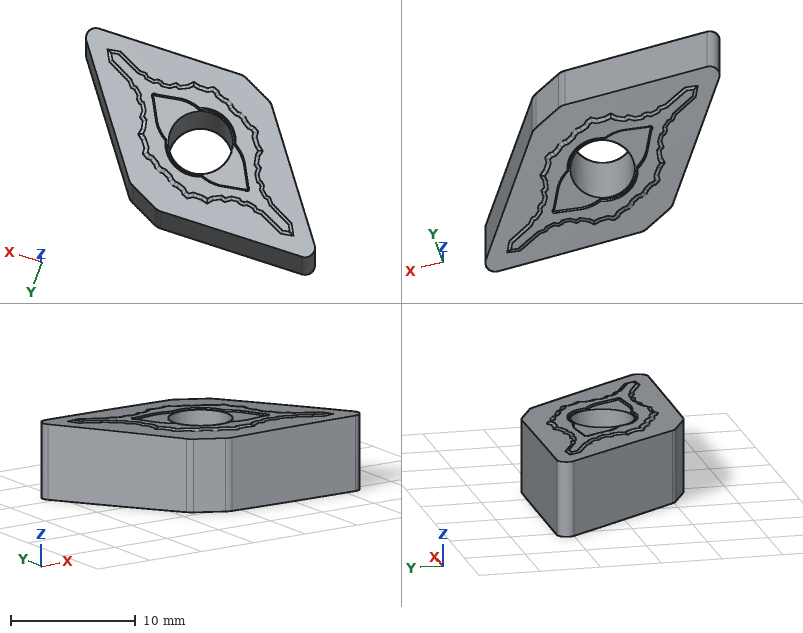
import cadquery as cq
import math

length_x = 22.92
width_y = 12.7
height_z = 6.45
bore_diameter = 5.15
nose_angle = 55.0

blunt_setback = 1.76
blunt_radius = 1.2

crown_drop = 0.1
crown_edge_drop = 0.1

land_depth = 0.18
land_wall_run = 0.53

recess_depth = 0.11
recess_radius = 2.85
recess_wall_angle = 45.0
recess_tip = 5.52
recess_bore_side_along = 2.1
recess_flank_middle = (2.93, 1.75)
recess_flank_end = (3.67, 1.4)
recess_tip_side = (5.32, 0.2)

half_nose = math.radians(nose_angle / 2)
half_width = width_y / 2
half_height = height_z / 2
sharp_reach = half_width / math.tan(half_nose)
nose_radius = (sharp_reach - length_x / 2) / (1 / math.tan(half_nose) - 1)
side_length = width_y / math.sin(2 * half_nose)
crown_height = half_height - crown_drop

land_crest = [
    (10.25, 0.0), (9.76, 0.35), (7.56, 0.37),
    (7.08, 0.57), (6.83, 0.48), (6.1, 0.69),
    (5.94, 0.95), (5.7, 1.0), (5.5, 0.96), (4.9, 1.33),
    (4.68, 1.76), (4.33, 1.8), (3.83, 2.45),
    (3.71, 2.82), (3.3, 2.9), (2.57, 3.28),
    (2.35, 3.6), (2.1, 3.62), (1.83, 3.5), (1.2, 3.58),
    (0.92, 3.7), (0.6, 3.67), (0.37, 3.55),
]


def to_part_axes(shape):
    """Turn a shape drawn along the long diagonal into the part's axes."""
    return shape.rotate((0, 0, 0), (0, 0, 1), -nose_angle / 2)


def half_turned(points):
    """The same points turned by 180 degrees about the bore axis."""
    return [(-x, -y) for x, y in points]


def make_body():
    """Rhombus with its two blunt corners cut off and all corners rounded."""
    blunt_x = side_length - sharp_reach
    cut_end = (
        blunt_x + blunt_setback * math.cos(2 * half_nose),
        half_width - blunt_setback * math.sin(2 * half_nose),
    )
    half_outline = [(-sharp_reach, half_width), (blunt_x - blunt_setback, half_width), cut_end]
    body = (
        cq.Workplane("XY", origin=(0, 0, -half_height))
        .polyline(half_outline + half_turned(half_outline))
        .close()
        .extrude(height_z)
    )
    body = body.edges("|Z").edges("not (<X or >X)").fillet(blunt_radius)
    return body.edges("|Z").edges("<X or >X").fillet(nose_radius)


def make_crown():
    """Bar along the long diagonal whose arched top and bottom shape the rims."""
    edge_height = crown_height - crown_edge_drop
    half_bar = sharp_reach / math.cos(half_nose)
    section = (
        cq.Workplane("YZ")
        .moveTo(half_width, edge_height)
        .threePointArc((0, crown_height), (-half_width, edge_height))
        .lineTo(-half_width, -edge_height)
        .threePointArc((0, -crown_height), (half_width, -edge_height))
        .close()
    )
    return to_part_axes(section.extrude(half_bar, both=True))


def outset_corner(before, corner, after):
    """Corner of a counterclockwise outline moved outward by the wall run."""
    heading_in = math.atan2(corner[1] - before[1], corner[0] - before[0])
    heading_out = math.atan2(after[1] - corner[1], after[0] - corner[0])
    half_turn = math.remainder(heading_out - heading_in, 2 * math.pi) / 2
    outward = heading_in + half_turn - math.pi / 2
    reach = land_wall_run / math.cos(half_turn)
    return corner[0] + reach * math.cos(outward), corner[1] + reach * math.sin(outward)


def make_land():
    """Land with a flat crest, whose wall slopes down into the body."""
    half = land_crest + [(-along, offset) for along, offset in reversed(land_crest[1:])]
    crest = half + half_turned(half)
    count = len(crest)
    foot = [outset_corner(crest[i - 1], crest[i], crest[(i + 1) % count]) for i in range(count)]
    foot_height = half_height - land_depth
    foot_wire = cq.Wire.makePolygon([cq.Vector(x, y, foot_height) for x, y in foot], close=True)
    crest_wire = cq.Wire.makePolygon([cq.Vector(x, y, half_height) for x, y in crest], close=True)
    return to_part_axes(cq.Workplane(obj=cq.Solid.makeLoft([foot_wire, crest_wire], True)))


def make_recess():
    """Eye outline: arcs around the bore that run out into a rounded corner at each end."""
    bore_side = (recess_bore_side_along, math.sqrt(recess_radius ** 2 - recess_bore_side_along ** 2))
    right_flank = [bore_side, recess_flank_middle, recess_flank_end, recess_tip_side]
    left_flank = [(-along, offset) for along, offset in right_flank]
    eye = cq.Workplane("XY", origin=(0, 0, half_height)).moveTo(*recess_tip_side)
    for turn in (1, -1):
        path = [(turn * along, turn * offset) for along, offset in right_flank + left_flank]
        right_bore, right_middle, right_end, _ = path[:4]
        left_bore, left_middle, left_end, left_tip_side = path[4:]
        next_tip_side = (-turn * recess_tip_side[0], -turn * recess_tip_side[1])
        eye = (
            eye.lineTo(*right_end)
            .threePointArc(right_middle, right_bore)
            .threePointArc((0, turn * recess_radius), left_bore)
            .threePointArc(left_middle, left_end)
            .lineTo(*left_tip_side)
            .threePointArc((-turn * recess_tip, 0), next_tip_side)
        )
    return to_part_axes(eye.close().extrude(-recess_depth, taper=recess_wall_angle))


result = make_body().intersect(make_crown())

land = make_land()
result = result.union(land).union(land.mirror("XY"))

recess = make_recess()
result = result.cut(recess).cut(recess.mirror("XY"))

bore = cq.Workplane("XY", origin=(0, 0, -half_height)).circle(bore_diameter / 2).extrude(height_z)
result = result.cut(bore)